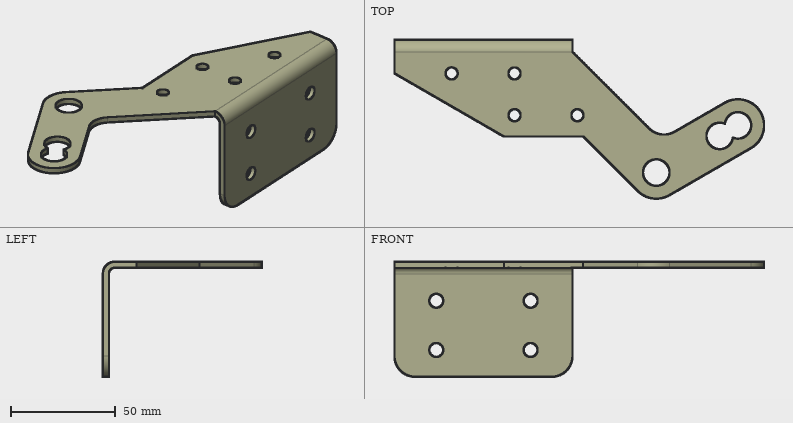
import cadquery as cq
import math


length = 176.5
depth = 75.9
height = 55.0
thickness = 3.0
bend_outer_radius = 5.8
bend_inner_radius = bend_outer_radius - thickness

flange_width = 85.0
flange_corner_radius = 10.0
flange_hole_diameter = 6.5
flange_hole_spacing_x = 45.0
flange_hole_spacing_z = 23.5
flange_top_hole_depth = 18.7

left_edge_y = -16.0
front_edge_y = -46.2
left_slope_angle = 30.0
plate_hole_diameter = 5.6
plate_hole_x = 27.4
plate_hole_y = -16.0
plate_hole_step_x = 30.0
plate_hole_step_y = 20.0

arm_radius = 12.5
arm_hole_diameter = 12.5
plate_arm_angle = 135.0
tip_arm_angle = 30.0
tip_arm_length = 45.0
keyhole_offset = 10.0
elbow_inner_radius = 10.0


def along(point, angle, distance):
    """Point reached by moving a distance from a point at an angle in degrees."""
    a = math.radians(angle)
    return (point[0] + distance * math.cos(a), point[1] + distance * math.sin(a))


tip = (length - arm_radius, arm_radius - depth + tip_arm_length * math.sin(math.radians(tip_arm_angle)))
elbow = along(tip, tip_arm_angle + 180, tip_arm_length)

bisector = (plate_arm_angle + tip_arm_angle) / 2
half_angle = (plate_arm_angle - tip_arm_angle) / 2
corner_distance = arm_radius / math.sin(math.radians(half_angle))
inner_corner = along(elbow, bisector, corner_distance)
outer_corner = along(elbow, bisector + 180, corner_distance)


def make_plate():
    slope_end_x = (left_edge_y - front_edge_y) / math.tan(math.radians(left_slope_angle))
    rise = front_edge_y - outer_corner[1]
    arm_front_x = outer_corner[0] + rise / math.tan(math.radians(plate_arm_angle))
    plate = (
        cq.Workplane("XY")
        .moveTo(0, -bend_outer_radius)
        .lineTo(0, left_edge_y)
        .lineTo(slope_end_x, front_edge_y)
        .lineTo(arm_front_x, front_edge_y)
        .lineTo(*outer_corner)
        .lineTo(*along(tip, tip_arm_angle - 90, arm_radius))
        .threePointArc(along(tip, tip_arm_angle, arm_radius), along(tip, tip_arm_angle + 90, arm_radius))
        .lineTo(*inner_corner)
        .lineTo(flange_width, -bend_outer_radius)
        .close()
        .extrude(-thickness)
    )
    for corner, radius in ((inner_corner, elbow_inner_radius), (outer_corner, arm_radius)):
        nearest = cq.selectors.NearestToPointSelector((*corner, -thickness / 2))
        plate = plate.edges("|Z").edges(nearest).fillet(radius)
    return plate


def make_bend():
    bend_center = (-bend_outer_radius, -bend_outer_radius)
    return (
        cq.Workplane("YZ")
        .moveTo(-bend_outer_radius, 0)
        .threePointArc(along(bend_center, 45, bend_outer_radius), (0, -bend_outer_radius))
        .lineTo(-thickness, -bend_outer_radius)
        .threePointArc(along(bend_center, 45, bend_inner_radius), (-bend_outer_radius, -thickness))
        .close()
        .extrude(flange_width)
    )


def make_flange():
    flange = (
        cq.Workplane("XY")
        .box(flange_width, thickness, height - bend_outer_radius, centered=False)
        .translate((0, -thickness, -height))
    )
    return flange.edges("|Y and <Z").fillet(flange_corner_radius)


def plate_hole_cutter(points, diameter):
    return cq.Workplane("XY").pushPoints(points).circle(diameter / 2).extrude(-thickness)


def flange_hole_cutter():
    middle_z = -flange_top_hole_depth - flange_hole_spacing_z / 2
    return (
        cq.Workplane("XZ")
        .center(flange_width / 2, middle_z)
        .rarray(flange_hole_spacing_x, flange_hole_spacing_z, 2, 2)
        .circle(flange_hole_diameter / 2)
        .extrude(thickness)
    )


screw_points = [
    (plate_hole_x + (row + column) * plate_hole_step_x, plate_hole_y - row * plate_hole_step_y)
    for row in range(2)
    for column in range(2)
]
keyhole = along(tip, tip_arm_angle + 180, keyhole_offset)

result = make_plate().union(make_bend()).union(make_flange())
result = result.cut(plate_hole_cutter(screw_points, plate_hole_diameter))
for hole_center in (elbow, keyhole, tip):
    result = result.cut(plate_hole_cutter([hole_center], arm_hole_diameter))
result = result.cut(flange_hole_cutter())